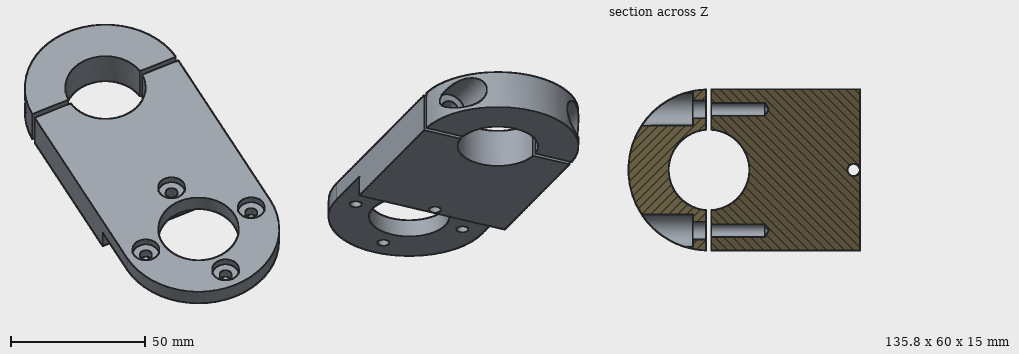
import cadquery as cq
import math

length = 135.8
height = 15.0
end_radius = 30.0
width = 2 * end_radius
clamp_center_x = end_radius
mount_center_x = length - end_radius

bore_diameter = 29.9
cap_face_x = 28.9
gap = 1.9
arm_face_x = cap_face_x + gap

step_x = 86.2
plate_thickness = 6.9
plate_underside_z = height - plate_thickness

mount_hole_count = 4
mount_circle_radius = 22.0
mount_hole_diameter = 4.5
mount_head_diameter = 10.0
mount_head_depth = 3.0

screw_offset = 22.5
screw_z = height / 2
screw_clearance_diameter = 6.5
screw_head_diameter = 12.0
screw_seat_x = 24.0
thread_hole_diameter = 4.6
thread_hole_depth = 20.0
drill_tip_angle = 118.0


def vertical_cylinder(center_x, center_y, diameter, bottom_z, top_z):
    """Solid cylinder along Z."""
    return (
        cq.Workplane("XY", origin=(center_x, center_y, bottom_z))
        .circle(diameter / 2)
        .extrude(top_z - bottom_z)
    )


def screw_cylinder(side, diameter, start_x, end_x):
    """Solid cylinder along the screw axis; side is -1 or 1 in Y."""
    return (
        cq.Workplane("YZ", origin=(start_x, side * screw_offset, screw_z))
        .circle(diameter / 2)
        .extrude(end_x - start_x)
    )


def slab(start_x, end_x, bottom_z):
    """Full-width box reaching up to the top face."""
    return cq.Workplane("XY").box(
        end_x - start_x, width, height - bottom_z, centered=(False, True, False)
    ).translate((start_x, 0, bottom_z))


def thread_hole(side):
    """Blind tapping-size hole with a conical drill tip, revolved about the screw axis."""
    radius = thread_hole_diameter / 2
    tip_length = radius / math.tan(math.radians(drill_tip_angle / 2))
    return (
        cq.Workplane("XY", origin=(arm_face_x, side * screw_offset, screw_z))
        .polyline([
            (0, 0),
            (0, radius),
            (thread_hole_depth, radius),
            (thread_hole_depth + tip_length, 0),
        ])
        .close()
        .revolve(360, (0, 0, 0), (1, 0, 0))
    )


def make_clamp_cap():
    """Half ring with two counterbored screw holes."""
    disc = vertical_cylinder(clamp_center_x, 0, 2 * end_radius, 0, height)
    cap = disc.intersect(slab(0, cap_face_x, 0))
    cap = cap.cut(vertical_cylinder(clamp_center_x, 0, bore_diameter, 0, height))
    for side in (-1, 1):
        cap = cap.cut(screw_cylinder(side, screw_clearance_diameter, 0, cap_face_x))
        cap = cap.cut(screw_cylinder(side, screw_head_diameter, 0, screw_seat_x))
    return cap


def make_arm():
    """Thick clamp block that steps up to a thin, round-ended mounting plate."""
    arm = slab(arm_face_x, step_x, 0)
    arm = arm.union(slab(step_x, mount_center_x, plate_underside_z))
    arm = arm.union(
        vertical_cylinder(mount_center_x, 0, 2 * end_radius, plate_underside_z, height)
    )
    for bore_x in (clamp_center_x, mount_center_x):
        arm = arm.cut(vertical_cylinder(bore_x, 0, bore_diameter, 0, height))
    for index in range(mount_hole_count):
        angle = 2 * math.pi * index / mount_hole_count
        hole_x = mount_center_x + mount_circle_radius * math.cos(angle)
        hole_y = mount_circle_radius * math.sin(angle)
        arm = arm.cut(vertical_cylinder(hole_x, hole_y, mount_hole_diameter, 0, height))
        arm = arm.cut(
            vertical_cylinder(hole_x, hole_y, mount_head_diameter, height - mount_head_depth, height)
        )
    for side in (-1, 1):
        arm = arm.cut(thread_hole(side))
    return arm


clamp_cap = make_clamp_cap()
arm = make_arm()

result = cq.Compound.makeCompound([clamp_cap.val(), arm.val()])